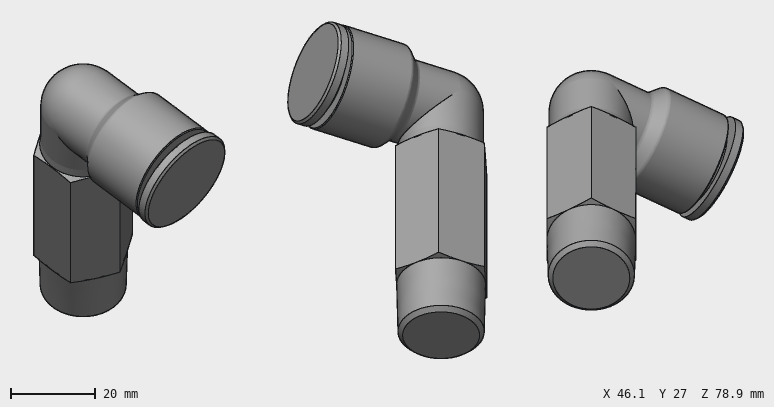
import cadquery as cq
import math

TOTAL_HEIGHT = 78.9

THREAD_LENGTH = 15.0
THREAD_TOP_RADIUS = 10.5
LEAD_RADIUS = 10.2
LEAD_HEIGHT = 1.1
LEAD_TIP_RADIUS = 9.1

HEX_ACROSS_FLATS = 21.0
HEX_LENGTH = 37.5
HEX_BEVEL_ANGLE = math.radians(15)

ELBOW_RADIUS = 10.0
FOOT_HEIGHT = 2.05
FOOT_RADIUS = 10.25

SOCKET_RADIUS = 12.8
SOCKET_CONE_START = 11.05
SOCKET_CONE_LENGTH = 2.9
SOCKET_BLEND_RADIUS = 1.0
SOCKET_END_CHAMFER = 0.2

NECK_RADIUS = 9.5
NECK_LENGTH = 1.4
COLLAR_WIDTH = 27.0
COLLAR_HEIGHT = 24.15
COLLAR_THICKNESS = 2.5
COLLAR_CHAMFER = 0.55
OUTLET_LENGTH = 34.0

HEX_CORNER_RADIUS = HEX_ACROSS_FLATS / math.sqrt(3)
HEX_TOP = THREAD_LENGTH + HEX_LENGTH
OUTLET_Z = TOTAL_HEIGHT - SOCKET_RADIUS
COLLAR_START = OUTLET_LENGTH - COLLAR_THICKNESS
SOCKET_END = COLLAR_START - NECK_LENGTH


def make_thread():
    """Tapered plug below the hexagon, with a chamfered tip."""
    profile = [
        (0, 0),
        (LEAD_TIP_RADIUS, 0),
        (LEAD_RADIUS, LEAD_HEIGHT),
        (THREAD_TOP_RADIUS, THREAD_LENGTH),
        (0, THREAD_LENGTH),
    ]
    return cq.Workplane("XZ").polyline(profile).close().revolve(360, (0, 0), (0, 1))


def make_hexagon():
    """Hexagonal shank with its corners bevelled at both ends."""
    prism = (
        cq.Workplane("XY", origin=(0, 0, THREAD_LENGTH))
        .polygon(6, 2 * HEX_CORNER_RADIUS)
        .extrude(HEX_LENGTH)
    )
    bevel_radius = HEX_ACROSS_FLATS / 2
    bevel_drop = (HEX_CORNER_RADIUS - bevel_radius) * math.tan(HEX_BEVEL_ANGLE)
    envelope_profile = [
        (0, THREAD_LENGTH),
        (bevel_radius, THREAD_LENGTH),
        (HEX_CORNER_RADIUS, THREAD_LENGTH + bevel_drop),
        (HEX_CORNER_RADIUS, HEX_TOP - bevel_drop),
        (bevel_radius, HEX_TOP),
        (0, HEX_TOP),
    ]
    envelope = cq.Workplane("XZ").polyline(envelope_profile).close().revolve(360, (0, 0), (0, 1))
    return prism.intersect(envelope)


def make_elbow():
    """Upright leg with a flared foot, closed by a ball at the bend."""
    foot_top = HEX_TOP + FOOT_HEIGHT
    profile = [
        (0, HEX_TOP),
        (FOOT_RADIUS, HEX_TOP),
        (ELBOW_RADIUS, foot_top),
        (ELBOW_RADIUS, OUTLET_Z),
    ]
    return (
        cq.Workplane("XZ")
        .polyline(profile)
        .radiusArc((0, OUTLET_Z + ELBOW_RADIUS), -ELBOW_RADIUS)
        .close()
        .revolve(360, (0, 0), (0, 1))
    )


def make_outlet():
    """Horizontal leg widening into the socket, followed by the collar neck."""
    cone_end = SOCKET_CONE_START + SOCKET_CONE_LENGTH
    profile = [
        (0, 0),
        (0, ELBOW_RADIUS),
        (SOCKET_CONE_START, ELBOW_RADIUS),
        (cone_end, SOCKET_RADIUS),
        (SOCKET_END - SOCKET_END_CHAMFER, SOCKET_RADIUS),
        (SOCKET_END, SOCKET_RADIUS - SOCKET_END_CHAMFER),
        (SOCKET_END, NECK_RADIUS),
        (COLLAR_START, NECK_RADIUS),
        (COLLAR_START, 0),
    ]
    outlet = (
        cq.Workplane("XZ", origin=(0, 0, OUTLET_Z))
        .polyline(profile)
        .close()
        .revolve(360, (0, 0), (1, 0))
    )
    cone_middle = (SOCKET_CONE_START + cone_end) / 2
    cone_rims = cq.selectors.BoxSelector(
        (cone_middle - SOCKET_CONE_LENGTH, -SOCKET_RADIUS, OUTLET_Z - SOCKET_RADIUS),
        (cone_middle + SOCKET_CONE_LENGTH, SOCKET_RADIUS, OUTLET_Z + SOCKET_RADIUS),
    )
    return outlet.edges("%CIRCLE").edges(cone_rims).fillet(SOCKET_BLEND_RADIUS)


def make_collar():
    """Oval release collar, wider across Y than it is tall."""
    return (
        cq.Workplane("YZ", origin=(COLLAR_START, 0, OUTLET_Z))
        .ellipse(COLLAR_WIDTH / 2, COLLAR_HEIGHT / 2)
        .extrude(COLLAR_THICKNESS)
        .faces(">X")
        .chamfer(COLLAR_CHAMFER)
    )


result = (
    make_thread()
    .union(make_hexagon())
    .union(make_elbow())
    .union(make_outlet())
    .union(make_collar())
)